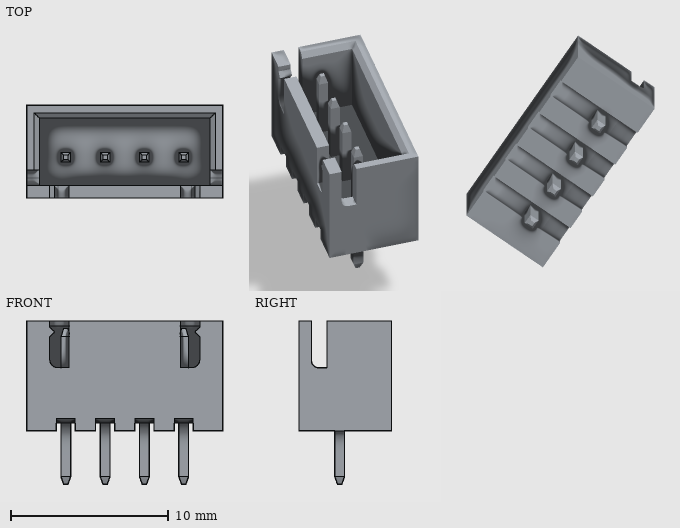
import cadquery as cq

length = 12.5
depth = 5.91
height = 7.0
wall = 0.81
floor_thickness = 2.0
lead_in = 0.32

slot_bottom = 4.02
side_slot_width = 0.98
side_slot_radius = 0.46
front_slot_inner = 3.54
front_slot_outer = 4.78
front_slot_radius = 0.52
latch_size = 0.31
latch_drop = 0.7

pin_count = 4
pitch = 2.5
contact_width = 0.6
tail_width = 0.64
pin_y = 2.6
pin_top = 6.51
pin_bottom = -3.4
tip_length = 0.5
tip_width = 0.28

notch_width = 1.2
notch_height = 0.5
notch_front_height = 0.8
notch_slope_length = 1.4

pin_joint = (notch_height + floor_thickness) / 2
pin_positions = [(i - (pin_count - 1) / 2) * pitch for i in range(pin_count)]


def box(x_range, y_range, z_range):
    """Box spanning the given (low, high) ranges."""
    (x0, x1), (y0, y1), (z0, z1) = x_range, y_range, z_range
    return cq.Workplane("XY").box(x1 - x0, y1 - y0, z1 - z0, centered=False).translate((x0, y0, z0))


def make_shell():
    """Open-topped box with a bevelled mouth on the back and side walls."""
    half_length = length / 2
    inner_half = half_length - wall
    outer = box((-half_length, half_length), (0, depth), (0, height))
    cavity = box((-inner_half, inner_half), (wall, depth - wall), (floor_thickness, height))
    cavity_depth = depth - 2 * wall
    mouth = (
        cq.Workplane("XY", origin=(0, depth / 2, height - lead_in))
        .rect(2 * inner_half, cavity_depth)
        .workplane(offset=lead_in)
        .center(0, lead_in / 2)
        .rect(2 * (inner_half + lead_in), cavity_depth + lead_in)
        .loft(combine=True)
    )
    return outer.cut(cavity).cut(mouth)


def side_slots():
    """Slot through both end walls, beside the front wall, with one rounded bottom corner."""
    slot = box((-length / 2, length / 2), (wall, wall + side_slot_width), (slot_bottom, height))
    return slot.edges("<Y and <Z").fillet(side_slot_radius)


def front_slot():
    """Right-hand slot through the front wall, with a latch tooth on its outer edge."""
    tooth_z = height - latch_drop
    slot = box((front_slot_inner, front_slot_outer), (0, wall), (slot_bottom, height))
    slot = slot.edges(">X and <Z").fillet(front_slot_radius)
    tooth = (
        cq.Workplane("XZ")
        .moveTo(front_slot_outer, tooth_z - latch_size)
        .lineTo(front_slot_outer - latch_size, tooth_z)
        .lineTo(front_slot_outer, tooth_z + latch_size)
        .close()
        .extrude(-wall)
    )
    return slot.cut(tooth)


def notch(x):
    """Channel across the underside whose roof rises towards the front face."""
    return (
        cq.Workplane("YZ", origin=(x - notch_width / 2, 0, 0))
        .polyline([
            (0, 0),
            (depth, 0),
            (depth, notch_height),
            (notch_slope_length, notch_height),
            (0, notch_front_height),
        ])
        .close()
        .extrude(notch_width)
    )


def half_pin(width, reach):
    """Square prong of the given length, standing on the XY plane and tapering at its free end."""
    shank_length = reach - tip_length
    return (
        cq.Workplane("XY")
        .rect(width, width)
        .extrude(shank_length)
        .faces(">Z")
        .workplane()
        .rect(width, width)
        .workplane(offset=tip_length)
        .rect(tip_width, tip_width)
        .loft(combine=True)
    )


def pin(x):
    """Contact above and tail below, meeting inside the housing floor."""
    contact = half_pin(contact_width, pin_top - pin_joint)
    tail = half_pin(tail_width, pin_joint - pin_bottom).mirror("XY")
    return contact.union(tail).translate((x, pin_y, pin_joint))


result = make_shell().cut(side_slots())
right_slot = front_slot()
result = result.cut(right_slot).cut(right_slot.mirror("YZ"))
for x in pin_positions:
    result = result.cut(notch(x))
for x in pin_positions:
    result = result.union(pin(x))